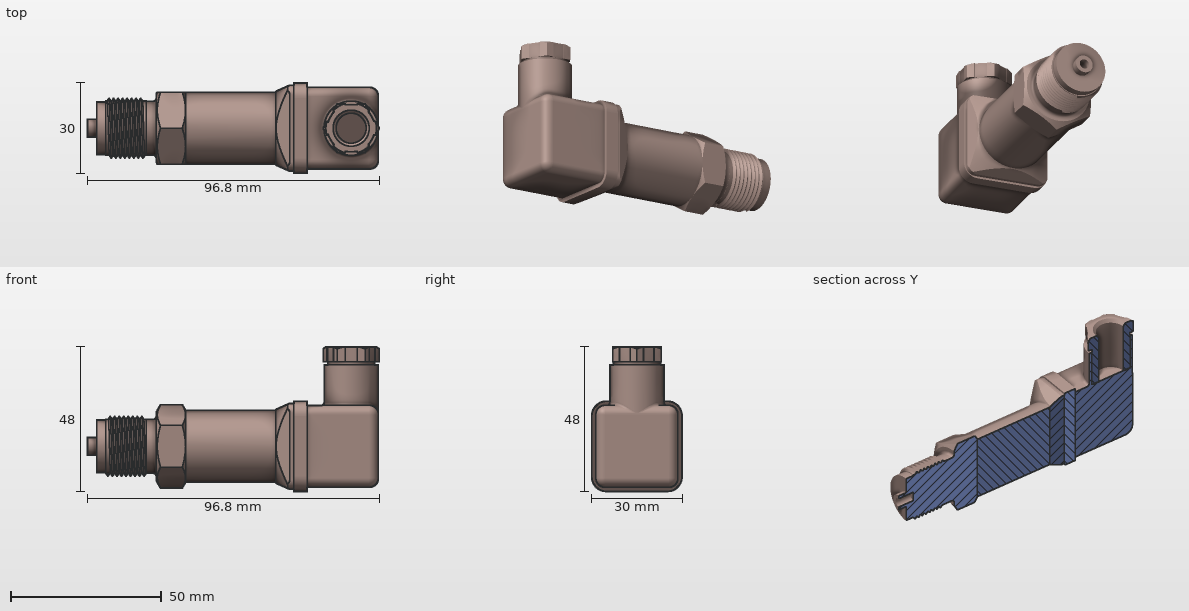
import cadquery as cq
import math


overall_length = 96.8
hex_sides = 6

nipple_end = 3.0
thread_start = 6.0
relief_start = 19.6
hex_start = 22.8
tube_start = 32.5
base_start = 62.45
gasket_start = 68.5
housing_start = 72.9
housing_end = 96.5

nipple_dia = 6.0
bore_dia = 3.3
bore_depth = 6.0
collar_dia = 17.5
relief_dia = 18.0
relief_fillet = 0.9
thread_dia = 19.8
thread_core_dia = 18.1
thread_pitch = 1.5
thread_turns = 8
thread_first_crest = 6.8
thread_flank_width = 1.4
thread_root_overlap = 0.1
hex_across_flats = 24.0
hex_face_dia = 22.6
hex_chamfer_angle = 30

tube_dia = hex_across_flats

base_side = 28.6
base_corner = 3.1
base_cone_angle = 60
base_slope_end = 67.1
base_slope_angle = 24

gasket_side = 30
gasket_corner = 4.9
housing_side = 27.2
housing_fillet = 3.0

nut_across_flats = 16.2
nut_bottom = 28.0
nut_top = 33.0
nut_corner_dia = nut_across_flats / math.cos(math.pi / hex_sides)
tower_x = overall_length - nut_corner_dia / 2
tower_dia = 18.0
tower_top = 27.0
tower_foot_fillet = 0.9
shank_dia = 15.7
shank_bottom = housing_side / 2
cable_bore_dia = 10.0
cable_lead_dia = 12.0
nut_chamfer_dia = 16.75
nut_chamfer_angle = 35
grip_width = 4.1
grip_depth = 0.3


def disc(start, end, diameter):
    """Solid cylinder on the main axis between two X positions."""
    return cq.Workplane("YZ", (start, 0, 0)).circle(diameter / 2).extrude(end - start)


def rounded_block(start, end, side, corner):
    """Square bar along X with its four long edges rounded."""
    bar = cq.Workplane("YZ", (start, 0, 0)).rect(side, side).extrude(end - start)
    return bar.edges("|X").fillet(corner)


def turned(points):
    """Solid of revolution about X from (x, radius) points."""
    return cq.Workplane("XY").polyline(points).close().revolve(360, (0, 0, 0), (1, 0, 0))


def thread_ridge():
    """Helical triangular ridge, starting at the underside of the fitting."""
    core_radius = thread_core_dia / 2
    root_radius = core_radius - thread_root_overlap
    length = thread_turns * thread_pitch
    helix = cq.Wire.makeHelix(thread_pitch, length, core_radius)
    profile = (
        cq.Workplane("XZ")
        .moveTo(root_radius, -thread_flank_width / 2)
        .lineTo(thread_dia / 2, 0)
        .lineTo(root_radius, thread_flank_width / 2)
        .close()
    )
    ridge = profile.sweep(cq.Workplane(helix), isFrenet=True)
    return ridge.rotate((0, 0, 0), (0, 1, 0), 90).translate((thread_first_crest, 0, 0))


def fitting_hex():
    """Hexagon with corners up and down, chamfered at both ends."""
    corner_radius = hex_across_flats / 2 / math.cos(math.pi / hex_sides)
    slope = math.tan(math.radians(hex_chamfer_angle))
    face_radius = hex_face_dia / 2
    tube_radius = tube_dia / 2
    bar = (
        cq.Workplane("YZ", (hex_start, 0, 0))
        .polygon(hex_sides, 2 * corner_radius)
        .extrude(tube_start - hex_start)
        .rotate((0, 0, 0), (1, 0, 0), 90)
    )
    envelope = turned([
        (hex_start, 0),
        (hex_start, face_radius),
        (hex_start + (corner_radius - face_radius) * slope, corner_radius),
        (tube_start - (corner_radius - tube_radius) * slope, corner_radius),
        (tube_start, tube_radius),
        (tube_start, 0),
    ])
    return bar.intersect(envelope)


def turned_shaft():
    """Nipple, collar, thread core and relief as one turned shaft, flaring into the hexagon."""
    relief_radius = relief_dia / 2
    return (
        cq.Workplane("XY")
        .lineTo(0, nipple_dia / 2)
        .lineTo(nipple_end, nipple_dia / 2)
        .lineTo(nipple_end, collar_dia / 2)
        .lineTo(thread_start, collar_dia / 2)
        .lineTo(thread_start, thread_core_dia / 2)
        .lineTo(relief_start, thread_core_dia / 2)
        .lineTo(relief_start, relief_radius)
        .lineTo(hex_start - relief_fillet, relief_radius)
        .radiusArc((hex_start, relief_radius + relief_fillet), -relief_fillet)
        .lineTo(hex_start, 0)
        .close()
        .revolve(360, (0, 0, 0), (1, 0, 0))
    )


def make_fitting():
    """Nipple, threaded stud and hexagon, with the pressure bore."""
    stud = turned_shaft().union(thread_ridge())
    return stud.union(fitting_hex()).cut(disc(0, bore_depth, bore_dia))


def make_tube():
    return disc(tube_start, base_start, tube_dia)


def make_base():
    """Rounded square whose front is cut by a cone and by four sloped sides."""
    block = rounded_block(base_start, gasket_start, base_side, base_corner)
    tube_radius = tube_dia / 2
    depth = gasket_start - base_start
    cone_radius = tube_radius + depth * math.tan(math.radians(base_cone_angle))
    cone = turned([
        (base_start, 0),
        (base_start, tube_radius),
        (gasket_start, cone_radius),
        (gasket_start, 0),
    ])
    slope_length = base_slope_end - base_start
    front_side = base_side - 2 * slope_length * math.tan(math.radians(base_slope_angle))
    pyramid = (
        cq.Workplane("YZ", (base_slope_end, 0, 0))
        .rect(base_side, base_side)
        .workplane(offset=-slope_length)
        .rect(front_side, front_side)
        .loft(ruled=True)
    )
    straight = (
        cq.Workplane("YZ", (base_slope_end, 0, 0))
        .rect(base_side, base_side)
        .extrude(gasket_start - base_slope_end)
    )
    return block.intersect(cone).intersect(pyramid.union(straight))


def make_gasket():
    return rounded_block(gasket_start, housing_start, gasket_side, gasket_corner)


def tower_cylinder(bottom, top, diameter):
    """Solid cylinder on the tower axis between two heights."""
    return cq.Workplane("XY", (tower_x, 0, bottom)).circle(diameter / 2).extrude(top - bottom)


def make_housing():
    """Connector box with the cable tower, bored to take the shank of the gland nut."""
    box = rounded_block(housing_start, housing_end, housing_side, housing_fillet)
    box = box.faces(">X").edges().fillet(housing_fillet)
    tower = tower_cylinder(0, tower_top, tower_dia)
    housing = box.union(tower)
    foot = cq.selectors.BoxSelector(
        (tower_x - tower_dia / 2, -tower_dia / 2, housing_side / 2 - housing_fillet),
        (housing_end, tower_dia / 2, housing_side / 2 + tower_foot_fillet),
    )
    housing = housing.edges(foot).edges("%BSPLINE or %CIRCLE").fillet(tower_foot_fillet)
    recess = tower_cylinder(shank_bottom, tower_top, shank_dia)
    return housing.cut(recess)


def make_nut():
    """Hexagonal gland nut with a shallow grip recess in every flat and a tubular shank."""
    height = nut_top - nut_bottom
    corner_radius = nut_corner_dia / 2
    chamfer_radius = nut_chamfer_dia / 2
    chamfer_drop = (corner_radius - chamfer_radius) * math.tan(math.radians(nut_chamfer_angle))
    nut = cq.Workplane("XY").polygon(hex_sides, nut_corner_dia).extrude(height)
    for side in range(hex_sides):
        recess = (
            cq.Workplane("XY", (nut_across_flats / 2, 0, 0))
            .rect(2 * grip_depth, grip_width)
            .extrude(height)
            .rotate((0, 0, 0), (0, 0, 1), (side + 0.5) * 360 / hex_sides)
        )
        nut = nut.cut(recess)
    envelope = (
        cq.Workplane("XZ")
        .lineTo(corner_radius, 0)
        .lineTo(corner_radius, height - chamfer_drop)
        .lineTo(chamfer_radius, height)
        .lineTo(0, height)
        .close()
        .revolve(360, (0, 0, 0), (0, 1, 0))
    )
    shank_length = nut_bottom - shank_bottom
    shank = cq.Workplane("XY").circle(shank_dia / 2).extrude(-shank_length)
    lead_depth = (cable_lead_dia - cable_bore_dia) / 2
    bore = (
        cq.Workplane("XZ")
        .moveTo(0, -shank_length)
        .lineTo(cable_bore_dia / 2, -shank_length)
        .lineTo(cable_bore_dia / 2, height - lead_depth)
        .lineTo(cable_lead_dia / 2, height)
        .lineTo(0, height)
        .close()
        .revolve(360, (0, 0, 0), (0, 1, 0))
    )
    return nut.intersect(envelope).union(shank).cut(bore).translate((tower_x, 0, nut_bottom))


fitting = make_fitting()
tube = make_tube()
base = make_base()
gasket = make_gasket()
housing = make_housing()
nut = make_nut()

result = cq.Compound.makeCompound([
    fitting.val(),
    tube.val(),
    base.val(),
    gasket.val(),
    housing.val(),
    nut.val(),
])